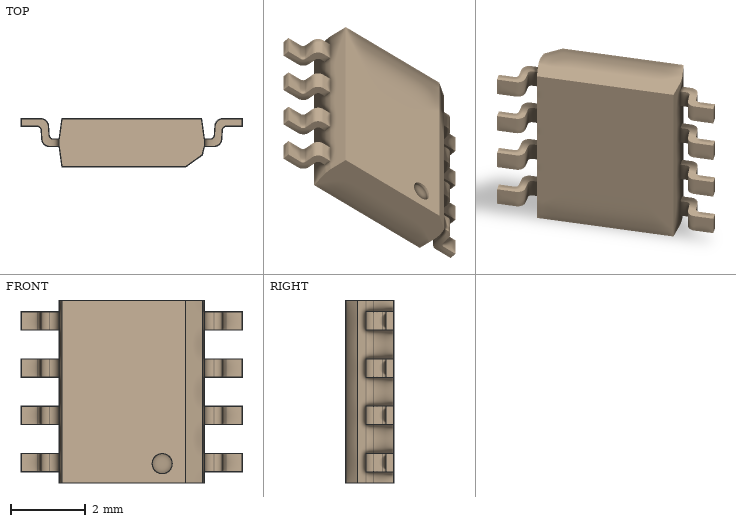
import cadquery as cq
import math


overall_span = 5.95
body_thickness = 1.3
body_length = 4.92
back_y = body_thickness / 2
front_y = -body_thickness / 2

leads_per_side = 4
lead_pitch = 1.27
lead_width = 0.5
lead_thickness = 0.21
lead_setback = 0.545
web_tilt = math.radians(4)
foot_corner_x = 2.447
outer_bend_radius = 0.215
inner_bend_radius = 0.1
tip_x = overall_span / 2

waist_half_width = 1.955
face_half_width = 1.88
waist_back_y = back_y - lead_setback
waist_front_y = waist_back_y - lead_thickness

bevel_front_x = 1.45
bevel_side_x = 1.9
bevel_depth = 0.32

dimple_diameter = 0.54
dimple_depth = 0.1
dimple_x = 0.82
dimple_z = -1.935


def extrude_along_z(outline, length):
    """Extrude a closed XY outline symmetrically about Z = 0."""
    return outline.extrude(length / 2, both=True)


def make_body():
    outline = (
        cq.Workplane("XY")
        .moveTo(-face_half_width, back_y)
        .lineTo(face_half_width, back_y)
        .lineTo(waist_half_width, waist_back_y)
        .lineTo(waist_half_width, waist_front_y)
        .lineTo(bevel_side_x, front_y + bevel_depth)
        .lineTo(bevel_front_x, front_y)
        .lineTo(-face_half_width, front_y)
        .lineTo(-waist_half_width, waist_front_y)
        .lineTo(-waist_half_width, waist_back_y)
        .close()
    )
    return extrude_along_z(outline, body_length)


def make_dimple():
    return (
        cq.Workplane("XZ", origin=(dimple_x, front_y, dimple_z))
        .circle(dimple_diameter / 2)
        .extrude(-dimple_depth)
    )


def make_lead(centre_z):
    """One lead on the +X side: shoulder, leaning web and foot, with every bend rounded."""
    foot_front_y = back_y - lead_thickness
    web_width_x = lead_thickness / math.cos(web_tilt)

    def web_outer_x(y):
        """X of the web's outer face at height y."""
        return foot_corner_x + (y - foot_front_y) * math.tan(web_tilt)

    shoulder_outer = (web_outer_x(waist_front_y), waist_front_y)
    foot_inner = (foot_corner_x, foot_front_y)
    foot_outer = (web_outer_x(back_y) - web_width_x, back_y)
    shoulder_inner = (web_outer_x(waist_back_y) - web_width_x, waist_back_y)

    outline = cq.Workplane("XY").polyline([
        (face_half_width, waist_front_y),
        shoulder_outer,
        foot_inner,
        (tip_x, foot_front_y),
        (tip_x, back_y),
        foot_outer,
        shoulder_inner,
        (face_half_width, waist_back_y),
    ]).close()
    lead = extrude_along_z(outline, lead_width)

    bends = [
        (shoulder_outer, outer_bend_radius),
        (shoulder_inner, inner_bend_radius),
        (foot_outer, outer_bend_radius),
        (foot_inner, inner_bend_radius),
    ]
    for (corner_x, corner_y), radius in bends:
        corner_edge = cq.selectors.NearestToPointSelector((corner_x, corner_y, 0))
        lead = lead.edges("|Z").edges(corner_edge).fillet(radius)
    return lead.translate((0, 0, centre_z))


result = make_body().cut(make_dimple())
for index in range(leads_per_side):
    lead = make_lead((index - (leads_per_side - 1) / 2) * lead_pitch)
    result = result.union(lead).union(lead.mirror("YZ"))